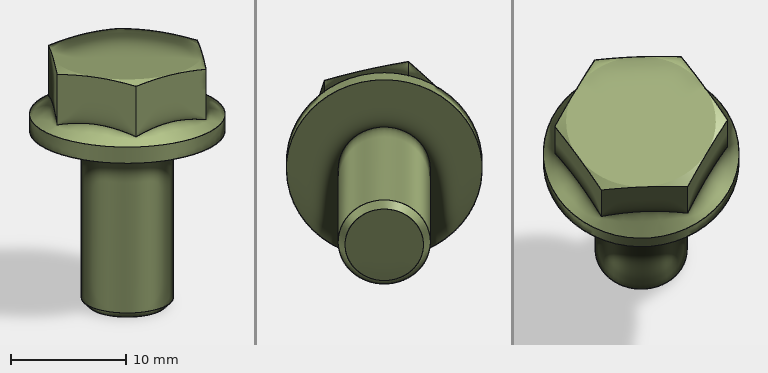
import cadquery as cq
import math

total_height = 23.0
shank_length = 16.0
shank_diameter = 8.0
shank_chamfer = 0.6
flange_diameter = 17.0
flange_rim_height = 1.5
flange_slope_angle = 30.0
across_flats = 13.0
crown_angle = 15.0

head_height = total_height - shank_length
flange_radius = flange_diameter / 2
across_corners = across_flats / math.cos(math.radians(30))
flange_slope = math.tan(math.radians(flange_slope_angle))
crown_slope = math.tan(math.radians(crown_angle))


def make_shank():
    """Plain cylinder with a chamfered tip, hanging below the flange."""
    shank = cq.Workplane("XY").circle(shank_diameter / 2).extrude(-shank_length)
    return shank.faces("<Z").chamfer(shank_chamfer)


def make_flange():
    """Round rim topped by a cone that runs up to the inscribed circle of the hexagon."""
    cone_top_radius = across_flats / 2
    cone_top = flange_rim_height + (flange_radius - cone_top_radius) * flange_slope
    profile = [
        (0, 0),
        (flange_radius, 0),
        (flange_radius, flange_rim_height),
        (cone_top_radius, cone_top),
        (0, cone_top),
    ]
    return cq.Workplane("XZ").polyline(profile).close().revolve(360, (0, 0), (0, 1))


def make_hexagon():
    """Hexagonal head with corners on the Y axis, trimmed by a shallow crown cone."""
    hexagon = (
        cq.Workplane("XY")
        .transformed(rotate=(0, 0, 90))
        .polygon(6, across_corners)
        .extrude(head_height)
    )
    crown_edge = head_height - (flange_radius - across_flats / 2) * crown_slope
    envelope = (
        cq.Workplane("XZ")
        .polyline([
            (0, 0),
            (flange_radius, 0),
            (flange_radius, crown_edge),
            (across_flats / 2, head_height),
            (0, head_height),
        ])
        .close()
        .revolve(360, (0, 0), (0, 1))
    )
    return hexagon.intersect(envelope)


result = make_shank().union(make_flange()).union(make_hexagon())